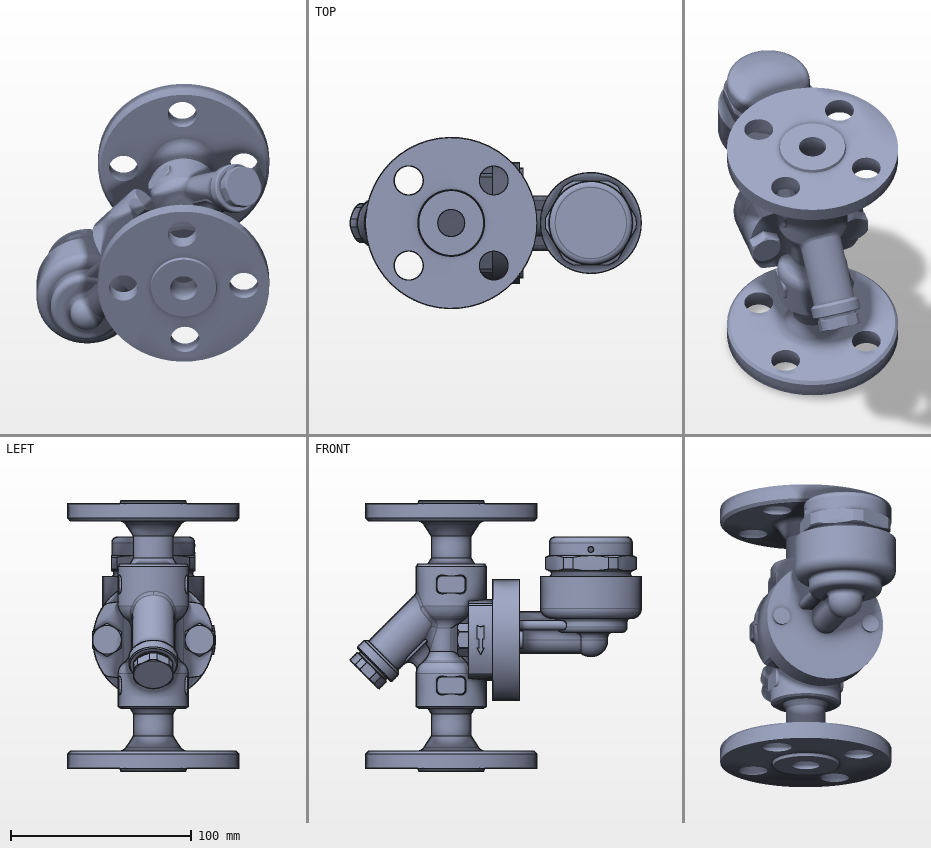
import cadquery as cq
import math

OVERALL_HEIGHT = 150.0
FLANGE_DIA = 95.0
FLANGE_THICKNESS = 9.7
FLANGE_CHAMFER = 1.6
RAISED_FACE_DIA = 36.0
RAISED_FACE_HEIGHT = 1.6
RAISED_FACE_FLARE = 0.5
BOLT_CIRCLE_DIA = 66.7
BOLT_HOLE_DIA = 16.0
BORE_DIA = 15.0
BORE_DEPTH = 19.7
HUB_ROOT_RADIUS = 18.1
HUB_RADIUS = 15.2
HUB_ROOT_HEIGHT = 2.0
HUB_HEIGHT = 8.4
PIPE_DIA = 22.0
SHOULDER_RADIUS = 13.0
SHOULDER_START = 43.1

DRUM_DIA = 39.0
DRUM_END = 40.0
DRUM_CHAMFER_HEIGHT = 1.6
DRUM_CHAMFER_INSET = 1.0
BODY_MID_Z = -2.1
DRUM_INNER_END = 18.7
DOME_RADIUS = 16.2
DOME_END = 12.6
WAIST_RADIUS = 12.1
WAIST_FLARE_RADIUS = 15.2
WAIST_FLARE_END = 11.6
WAIST_HALF_HEIGHT = 6.5

PAD_WIDTH = 16.5
PAD_HEIGHT = 10.3
PAD_CORNER = 2.9
PAD_CHAMFER = 0.5
PAD_HEIGHTS = (28.6, -27.5)

BRANCH_ORIGIN_Z = 26.8
BRANCH_ANGLE = 45
BRANCH_DIA = 23.0
BRANCH_FILLET = 2.9
WEB_HOLLOW_RADIUS = 4.4
WEB_HALF_SPACING = 5.8
WEB_END = 43.1
WEB_LENGTH = 13.0
WEB_INNER_OVERLAP = 2.9
WEB_OUTER_HOLLOW = 3.5
WEB_OUTER_DEPTH = 5.7
COLLAR_DIA = 27.0
COLLAR_START = 53.3
COLLAR_END = 60.5
COLLAR_CHAMFER = 1.5
COLLAR_LIP_CHAMFER = 0.6
PLUG_START = 62.0
PLUG_END = 68.2
PLUG_CHAMFER = 0.3
PLUG_GROOVE_DIA = 21.0
PLUG_FLATS = 21.6
PLUG_CORNERS = 23.0

BLOCK_START = 9.7
JOINT_PLANE = 23.0
COVER_END = 38.0
COVER_DIA = 67.0
BLOCK_DIA = 66.7
BLOCK_CROWN = 22.5
BLOCK_SHOULDER_Y = 25.5
BLOCK_SHOULDER_Z = 20.2
BLOCK_SIDE_Z = 19.0
NECK_FILLET = 4.7
SCREW_OFFSET = 25.7
SCREW_HEAD_HEIGHT = 6.3
SCREW_FLATS = 16.0
SCREW_CORNERS = 18.2
SCREW_END_DIA = 9.5
SCREW_END_LENGTH = 2.0

ARROW_X = 16.3
ARROW_TOP = 5.8
ARROW_STEP = -1.6
ARROW_HEAD = -6.6
ARROW_TIP = -10.3
ARROW_HALF_WIDTH = 2.0
ARROW_SHAFT_HALF = 1.0
ARROW_NOTCH = 0.8
ARROW_RELIEF = 1.0

CHAMBER_DIA = 56.0
TOTAL_LENGTH = 161.5
TUBE_DIA = 15.2
UPPER_TUBE_Z = 6.0
WING_DIA = 5.3
WING_OFFSET = 12.5
CHAMBER_BOTTOM = 9.7
CHAMBER_FILLET = 5.5
CHAMBER_TOP = 33.1
CAP_NECK_RADIUS = 22.0
CAP_NECK_FLARE = 0.8
CAP_HEX_FLATS = 46.4
CAP_HEX_CORNERS = 50.4
CAP_HEX_START = 36.2
CAP_HEX_HEIGHT = 8.4
CAP_DIA = 46.0
CAP_TOP = 54.9
CAP_FILLET = 3.2
CAP_HOLE_DIA = 3.2
CAP_HOLE_Z = 48.0
CAP_HOLE_DEPTH = 3.2
STEP_RADIUS = 20.2
STEP_BOTTOM = 2.0
STEP_FILLET = 3.0
STEP_FLARE = 1.5
ELBOW_RADIUS = 9.4
ELBOW_FLARE = 2.5
HEX_CHAMFER = 1.0

FLANGE_FACE = OVERALL_HEIGHT / 2 - RAISED_FACE_HEIGHT
FLANGE_BACK = FLANGE_FACE - FLANGE_THICKNESS
BRANCH_TIP_X = -((PLUG_END - PLUG_CHAMFER) * math.sin(math.radians(BRANCH_ANGLE))
                 + PLUG_CORNERS / 2 * math.cos(math.radians(BRANCH_ANGLE)))
CHAMBER_X = BRANCH_TIP_X + TOTAL_LENGTH - CHAMBER_DIA / 2


def cylinder(diameter, start, end):
    """Cylinder about Z between two heights."""
    return cq.Workplane("XY").workplane(offset=start).circle(diameter / 2).extrude(end - start)


def along_x(shape, y, z):
    """Turn a shape built about Z to lie along +X, then shift it in Y and Z."""
    return shape.rotate((0, 0, 0), (0, 1, 0), 90).translate((0, y, z))


def hex_prism(flats, corner_dia, start, end, chamfer=HEX_CHAMFER, ends="<Z or >Z"):
    """Hexagon about Z with flats on +-Y, turned-down corners and chamfered ends."""
    hexagon = (
        cq.Workplane("XY").workplane(offset=start)
        .polygon(6, flats / math.cos(math.pi / 6)).extrude(end - start)
    )
    blank = cylinder(corner_dia, start, end)
    blank = blank.faces(ends).chamfer(chamfer, (corner_dia - flats) / 2)
    return hexagon.intersect(blank)


def pipe_end():
    """Upper flange, welding-neck hub and pipe down to the drum."""
    pipe_radius = PIPE_DIA / 2
    face_radius = RAISED_FACE_DIA / 2
    return (
        cq.Workplane("XZ")
        .moveTo(0, DRUM_END)
        .lineTo(SHOULDER_RADIUS, DRUM_END)
        .lineTo(pipe_radius, SHOULDER_START)
        .lineTo(pipe_radius, FLANGE_BACK - HUB_HEIGHT)
        .lineTo(HUB_RADIUS, FLANGE_BACK - HUB_ROOT_HEIGHT)
        .tangentArcPoint((HUB_ROOT_RADIUS, FLANGE_BACK), relative=False)
        .lineTo(FLANGE_DIA / 2 - FLANGE_CHAMFER, FLANGE_BACK)
        .lineTo(FLANGE_DIA / 2, FLANGE_BACK + FLANGE_CHAMFER)
        .lineTo(FLANGE_DIA / 2, FLANGE_FACE)
        .lineTo(face_radius + RAISED_FACE_FLARE, FLANGE_FACE)
        .lineTo(face_radius, OVERALL_HEIGHT / 2)
        .lineTo(0, OVERALL_HEIGHT / 2)
        .close().revolve(360, (0, 0), (0, 1))
    )


def cut_flange_holes(body):
    """Four bolt holes and a blind bore in each flange."""
    pitch = BOLT_CIRCLE_DIA / math.sqrt(2)
    bolt_holes = (
        cq.Workplane("XY").workplane(offset=FLANGE_BACK)
        .rect(pitch, pitch, forConstruction=True).vertices()
        .circle(BOLT_HOLE_DIA / 2).extrude(FLANGE_THICKNESS)
    )
    bore = cylinder(BORE_DIA, OVERALL_HEIGHT / 2 - BORE_DEPTH, OVERALL_HEIGHT / 2)
    holes = bolt_holes.union(bore)
    return body.cut(holes).cut(holes.mirror("XY"))


def drum_body():
    """Two drums whose domed inner ends flow into a narrower waist."""
    drum_radius = DRUM_DIA / 2
    top = BODY_MID_Z + DRUM_INNER_END
    bottom = BODY_MID_Z - DRUM_INNER_END
    body = (
        cq.Workplane("XZ")
        .moveTo(0, -DRUM_END)
        .lineTo(drum_radius, -DRUM_END)
        .lineTo(drum_radius, bottom)
        .tangentArcPoint((DOME_RADIUS, BODY_MID_Z - DOME_END), relative=False)
        .lineTo(WAIST_FLARE_RADIUS, BODY_MID_Z - WAIST_FLARE_END)
        .tangentArcPoint((WAIST_RADIUS, BODY_MID_Z - WAIST_HALF_HEIGHT), relative=False)
        .lineTo(WAIST_RADIUS, BODY_MID_Z + WAIST_HALF_HEIGHT)
        .tangentArcPoint((WAIST_FLARE_RADIUS, BODY_MID_Z + WAIST_FLARE_END), relative=False)
        .lineTo(DOME_RADIUS, BODY_MID_Z + DOME_END)
        .tangentArcPoint((drum_radius, top), relative=False)
        .lineTo(drum_radius, DRUM_END)
        .lineTo(0, DRUM_END)
        .close().revolve(360, (0, 0), (0, 1))
    )
    return body.faces("<Z or >Z").chamfer(DRUM_CHAMFER_HEIGHT, DRUM_CHAMFER_INSET)


def place_branch(shape):
    """Move a shape built along +Z onto the strainer axis, which points to -X and -Z."""
    return shape.rotate((0, 0, 0), (0, 1, 0), 180 + BRANCH_ANGLE).translate((0, 0, BRANCH_ORIGIN_Z))


def branch_body():
    """Drum body with the strainer branch blended into it."""
    body = drum_body().union(place_branch(cylinder(BRANCH_DIA, 0, COLLAR_END)))
    blended = [edge for edge in body.edges().vals() if edge.geomType() == "BSPLINE"]
    return body.newObject(blended).fillet(BRANCH_FILLET)


def web_profile(workplane):
    """Half section of the web, bounded by local X, with one hollow side."""
    hollow_centre = -(BRANCH_DIA / 2 + WEB_HOLLOW_RADIUS)
    narrow = WEB_HALF_SPACING - WEB_HOLLOW_RADIUS
    foot = WEB_HALF_SPACING - math.sqrt(WEB_HOLLOW_RADIUS**2 - WEB_OUTER_HOLLOW**2)
    return (
        workplane
        .moveTo(hollow_centre - WEB_OUTER_DEPTH, 0)
        .lineTo(hollow_centre - WEB_OUTER_DEPTH, foot)
        .lineTo(hollow_centre - WEB_OUTER_HOLLOW, foot)
        .threePointArc((hollow_centre, narrow), (-BRANCH_DIA / 2, WEB_HALF_SPACING))
        .lineTo(-BRANCH_DIA / 2 + WEB_INNER_OVERLAP, WEB_HALF_SPACING)
        .lineTo(-BRANCH_DIA / 2 + WEB_INNER_OVERLAP, 0)
        .close()
    )


def branch_web():
    """Hollow-sided web with a round end, filling the gap between branch, waist and lower drum."""
    origin = (0, 0, WEB_END)
    round_end = web_profile(cq.Workplane("XZ", origin=origin)).revolve(360, (0, 0), (1, 0))
    straight = web_profile(cq.Workplane("XY", origin=origin)).extrude(-WEB_LENGTH)
    return place_branch(round_end.union(straight).union(straight.mirror("XZ")))


def strainer_end():
    """Collar and hexagonal plug on the strainer branch."""
    collar = cylinder(COLLAR_DIA, COLLAR_START, COLLAR_END).faces("<Z").chamfer(COLLAR_CHAMFER)
    collar = collar.faces(">Z").chamfer(COLLAR_LIP_CHAMFER)
    groove = cylinder(PLUG_GROOVE_DIA, COLLAR_END, PLUG_START)
    plug = hex_prism(PLUG_FLATS, PLUG_CORNERS, PLUG_START, PLUG_END, PLUG_CHAMFER)
    return place_branch(collar.union(groove).union(plug))


def rating_pads():
    """Raised rounded rectangles on both sides of each drum."""
    pads = cq.Workplane("XZ").pushPoints([(0, z) for z in PAD_HEIGHTS]).rect(PAD_WIDTH, PAD_HEIGHT)
    pads = pads.extrude(DRUM_DIA / 2, both=True).edges("|Y").fillet(PAD_CORNER)
    return pads.faces("<Y or >Y").chamfer(PAD_CHAMFER)


def bonnet_block():
    """Block with round sides, crowned top and bottom, and bevelled corners."""
    side_radius = BLOCK_DIA / 2
    side_y = math.sqrt(side_radius**2 - BLOCK_SIDE_Z**2)
    return (
        cq.Workplane("YZ", origin=(BLOCK_START, 0, BODY_MID_Z))
        .moveTo(-BLOCK_SHOULDER_Y, BLOCK_SHOULDER_Z)
        .threePointArc((0, BLOCK_CROWN), (BLOCK_SHOULDER_Y, BLOCK_SHOULDER_Z))
        .lineTo(side_y, BLOCK_SIDE_Z)
        .threePointArc((side_radius, 0), (side_y, -BLOCK_SIDE_Z))
        .lineTo(BLOCK_SHOULDER_Y, -BLOCK_SHOULDER_Z)
        .threePointArc((0, -BLOCK_CROWN), (-BLOCK_SHOULDER_Y, -BLOCK_SHOULDER_Z))
        .lineTo(-side_y, -BLOCK_SIDE_Z)
        .threePointArc((-side_radius, 0), (-side_y, BLOCK_SIDE_Z))
        .close().extrude(JOINT_PLANE - BLOCK_START)
    )


def bonnet():
    """Crowned block, round cover, neck to the waist, flow arrow and two screws."""
    cover = along_x(cylinder(COVER_DIA, JOINT_PLANE, COVER_END), 0, BODY_MID_Z)

    flare_half = WAIST_RADIUS + NECK_FILLET
    neck = (
        cq.Workplane("XY", origin=(0, 0, BODY_MID_Z))
        .moveTo(0, -WAIST_RADIUS)
        .lineTo(BLOCK_START - NECK_FILLET, -WAIST_RADIUS)
        .tangentArcPoint((BLOCK_START, -flare_half), relative=False)
        .lineTo(BLOCK_START, 0)
        .lineTo(0, 0)
        .close().extrude(DRUM_INNER_END, both=True)
    )
    neck = neck.union(neck.mirror("XZ"))
    return add_screws(bonnet_block().union(cover).union(neck).union(flow_arrow()))


def add_screws(joint):
    """Two hexagon screws through the joint, heads on the block and tips past the cover."""
    head = hex_prism(SCREW_FLATS, SCREW_CORNERS, 0, SCREW_HEAD_HEIGHT, ends=">Z")
    head = head.rotate((0, 0, 0), (0, 1, 0), -90)
    screw_end = cylinder(SCREW_END_DIA, COVER_END, COVER_END + SCREW_END_LENGTH)
    for y in (-SCREW_OFFSET, SCREW_OFFSET):
        joint = joint.union(head.translate((BLOCK_START, y, BODY_MID_Z)))
        joint = joint.union(along_x(screw_end, y, BODY_MID_Z))
    return joint


def flow_arrow():
    """Downward arrow standing proud of the -Y side of the block."""
    half_outline = [
        (ARROW_HALF_WIDTH, ARROW_TOP), (ARROW_HALF_WIDTH, ARROW_STEP), (ARROW_SHAFT_HALF, ARROW_STEP),
        (ARROW_SHAFT_HALF, ARROW_HEAD), (ARROW_HALF_WIDTH, ARROW_HEAD),
    ]
    other_half = [(-x, z) for x, z in reversed(half_outline)]
    outline = [(0, ARROW_TOP - ARROW_NOTCH)] + half_outline + [(0, ARROW_TIP)] + other_half
    arrow = cq.Workplane("XZ", origin=(ARROW_X, 0, 0)).polyline(outline).close().extrude(COVER_DIA)
    envelope = cylinder(COVER_DIA + 2 * ARROW_RELIEF, BLOCK_START, JOINT_PLANE)
    envelope = envelope.cut(cylinder(COVER_DIA - 2 * ARROW_RELIEF, BLOCK_START, JOINT_PLANE))
    return arrow.intersect(along_x(envelope, 0, BODY_MID_Z))


def tube_plate(width, bottom, top):
    """Flat-sided filler between tubes, running from the cover to the chamber axis."""
    length = CHAMBER_X - COVER_END
    origin = (COVER_END + length / 2, 0, bottom)
    return cq.Workplane("XY", origin=origin).rect(length, width).extrude(top - bottom)


def tubes():
    """Web of two stacked tubes with a thin wing tube on each side."""
    lower = along_x(cylinder(TUBE_DIA, COVER_END, CHAMBER_X), 0, BODY_MID_Z)
    upper = along_x(cylinder(TUBE_DIA, COVER_END, CHAMBER_X), 0, UPPER_TUBE_Z)
    web = tube_plate(TUBE_DIA, BODY_MID_Z, UPPER_TUBE_Z)
    wing_plate = tube_plate(2 * WING_OFFSET, UPPER_TUBE_Z - WING_DIA / 2, UPPER_TUBE_Z + WING_DIA / 2)
    bundle = lower.union(upper).union(web).union(wing_plate)
    wing = cylinder(WING_DIA, COVER_END, CHAMBER_X)
    for y in (-WING_OFFSET, WING_OFFSET):
        bundle = bundle.union(along_x(wing, y, UPPER_TUBE_Z))
    return bundle


def chamber_underside():
    """Stepped underside of the chamber with flared roots, ending in a rounded elbow."""
    return (
        cq.Workplane("XZ")
        .moveTo(0, CHAMBER_BOTTOM)
        .lineTo(STEP_RADIUS + STEP_FLARE, CHAMBER_BOTTOM)
        .radiusArc((STEP_RADIUS, CHAMBER_BOTTOM - STEP_FLARE), -STEP_FLARE)
        .lineTo(STEP_RADIUS, STEP_BOTTOM + STEP_FILLET)
        .tangentArcPoint((STEP_RADIUS - STEP_FILLET, STEP_BOTTOM), relative=False)
        .lineTo(ELBOW_RADIUS + ELBOW_FLARE, STEP_BOTTOM)
        .tangentArcPoint((ELBOW_RADIUS, STEP_BOTTOM - ELBOW_FLARE), relative=False)
        .lineTo(ELBOW_RADIUS, BODY_MID_Z)
        .tangentArcPoint((0, BODY_MID_Z - ELBOW_RADIUS), relative=False)
        .close().revolve(360, (0, 0), (0, 1))
    )


def cap_neck():
    """Hollowed neck between the bowl and the cap."""
    flared = CAP_NECK_RADIUS + CAP_NECK_FLARE
    return (
        cq.Workplane("XZ")
        .moveTo(0, CHAMBER_TOP)
        .lineTo(flared, CHAMBER_TOP)
        .threePointArc((CAP_NECK_RADIUS, (CHAMBER_TOP + CAP_HEX_START) / 2), (flared, CAP_HEX_START))
        .lineTo(0, CAP_HEX_START)
        .close().revolve(360, (0, 0), (0, 1))
    )


def chamber():
    """Trap chamber about Z: bowl, hexagon cap with a pin hole, and underside."""
    bowl = cylinder(CHAMBER_DIA, CHAMBER_BOTTOM, CHAMBER_TOP).faces("<Z").edges().fillet(CHAMBER_FILLET)
    hexagon = hex_prism(CAP_HEX_FLATS, CAP_HEX_CORNERS, CAP_HEX_START, CAP_HEX_START + CAP_HEX_HEIGHT)
    cap = cylinder(CAP_DIA, CAP_HEX_START, CAP_TOP).faces(">Z").edges().fillet(CAP_FILLET)
    hole = (
        cq.Workplane("XZ", origin=(0, -CAP_DIA / 2, CAP_HOLE_Z))
        .circle(CAP_HOLE_DIA / 2).extrude(-CAP_HOLE_DEPTH)
    )
    return bowl.union(cap_neck()).union(hexagon).union(cap).cut(hole).union(chamber_underside())


body = branch_body().union(branch_web())
upper_end = pipe_end()
body = body.union(upper_end).union(upper_end.mirror("XY"))
body = cut_flange_holes(body)
body = body.union(rating_pads()).union(strainer_end()).union(bonnet())
result = body.union(tubes()).union(chamber().translate((CHAMBER_X, 0, 0)))